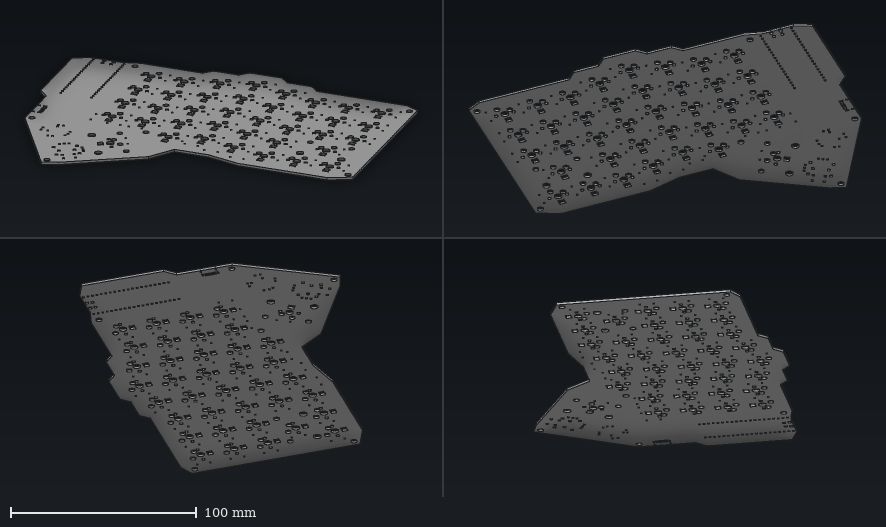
import cadquery as cq
import math


BOARD_LENGTH = 198.84
BOARD_WIDTH = 151.51
BOARD_THICKNESS = 1.51

KEY_PITCH = 19.05
FIRST_COLUMN_X = 48.67
TOP_ROW_Y = 127.71
COLUMN_STEP = KEY_PITCH / 4
COLUMN_RAISES = [0, 0, COLUMN_STEP, 2 * COLUMN_STEP, COLUMN_STEP, 0, 0, 0]
ROWS_IN_COLUMNS = [
    (0, 1, 2, 3),
    (0, 1, 2, 3),
    (0, 1, 2, 3, 4),
    (0, 1, 2, 3, 4),
    (0, 1, 2, 3, 4),
    (0, 1, 2, 3, 4),
    (0, 1, 2, 4),
    (0, 1, 2, 4),
]
LAST_COLUMN_X = FIRST_COLUMN_X + (len(COLUMN_RAISES) - 1) * KEY_PITCH
WIDE_KEY = (LAST_COLUMN_X - KEY_PITCH / 2, TOP_ROW_Y - 3 * KEY_PITCH)
THUMB_KEY = (60.55, 37.2)
THUMB_KEY_TURN = -60

TOP_EDGE_Y = BOARD_WIDTH - 2 * COLUMN_STEP
MIDDLE_STEP_Y = BOARD_WIDTH - COLUMN_STEP
TALLEST_COLUMN_X = FIRST_COLUMN_X + 3 * KEY_PITCH
CROWN_HALF_LENGTH = 9.35
MIDDLE_STEP_HALF_LENGTH = CROWN_HALF_LENGTH + KEY_PITCH
RIGHT_SIDE_TOP_Y = 138.0
RIGHT_SIDE_BOTTOM_Y = 42.7
TOP_EDGE_END_X = 191.3
BOTTOM_EDGE_X = (134.3, 186.2)
BOTTOM_EDGE_Y = 37.1
INNER_EDGE_X = (96.0, 115.4)
INNER_EDGE_Y = BOTTOM_EDGE_Y + COLUMN_STEP
THUMB_INNER_CORNER = (86.4, 27.8)
THUMB_TIP = (44.2, 3.1)
LOWEST_CORNER_X = 35.3
NECK_X = 5.5
NECK_BOTTOM_Y = 51.6
NECK_TOP_Y = 83.0
MODULE_SIDE_BOTTOM_Y = 88.6
MODULE_SIDE_TOP_Y = 135.1
MODULE_EDGE_X = (9.5, 27.2)
MODULE_EDGE_Y = 139.3
TOP_EDGE_START_X = 37.2

SWITCH_POST_DIAMETER = 3.99
SWITCH_PEG_DIAMETER = 1.75
SWITCH_PEG_OFFSET = 5.08
SOCKET_DIAMETER = 3.05
SOCKET_HOLES = [(-3.81, 2.54), (2.54, 5.08)]
LED_WINDOW = (3.3, 2.9)
LED_OFFSET = -5.3

STABILIZER_HALF_SPAN = 11.938
STABILIZER_SMALL_DIAMETER = 3.05
STABILIZER_SMALL_OFFSET = 6.985
STABILIZER_LARGE_DIAMETER = 4.0
STABILIZER_LARGE_OFFSET = -8.255

LEAD_DIAMETER = 0.8
LEAD_SPACING = 7.62
KEY_DIODE_X = 9.1
WIDE_KEY_DIODE_X = 8.45
KEY_DIODE_UPPER_LEAD = 5.0
THUMB_DIODE_FIRST_LEAD = (-5.2, 9.2)
EDGE_DIODE_X = 39.35
EDGE_DIODE_UPPER_LEAD_Y = 70.3
LYING_PARTS = [(49.2, 61.5), (61.7, 61.5), (98.2, 50.9), (111.1, 47.3), (127.5, 43.8)]

MODULE_X = 20.22
MODULE_TOP_PIN_Y = 137.84
MODULE_PIN_DIAMETER = 1.0
MODULE_PIN_PITCH = 2.54
MODULE_PINS_PER_ROW = 20
MODULE_ROW_SPACING = 17.78
MODULE_PEG_PAIRS = [(2.725, 0.0, 1.85), (2.425, -3.03, 1.65)]

USB_Y = 65.5
USB_REAR_ROW_X = 11.08
USB_ROW_SPACING = 1.35
USB_PIN_DIAMETER = 0.4
USB_PIN_PITCH = 0.85
USB_PINS_PER_ROW = 8
USB_SLOT_HALF_SPAN = 8.65 / 2
USB_SLOT_WIDTH = 0.6
USB_SLOT_PAIRS = [(0.98, 2.1), (4.36, 1.4)]

JOYSTICK_CENTER = (42.25, 19.68)
JOYSTICK_TURN = 30
JOYSTICK_MOUNT_DIAMETER = 1.6
JOYSTICK_MOUNTS = [(x, y) for x in (-6.3, 6.3) for y in (-5.0, 5.0)]
JOYSTICK_PEGS = [(-4.3, 0), (4.3, 0)]
JOYSTICK_SENSOR_PIN_DIAMETER = 1.1
JOYSTICK_SENSOR_PIN_PITCH = 2.5
JOYSTICK_SENSOR_OFFSET = 8.8
JOYSTICK_BUTTON_PIN_DIAMETER = 1.3
JOYSTICK_BUTTON_PINS = [(x, y) for x in (-3.25, 3.25) for y in (-5.75, -10.3)]

WIRE_CENTER = (27.2, 41.68)
WIRE_HOLE_DIAMETER = 1.0
WIRE_HOLES = [
    (-1.5, 7.8),
    (1.5, 7.75),
    (-1.2, 5.7),
    (-7.85, 1.5),
    (-7.85, -1.5),
    (-4.0, -1.5),
    (7.8, 1.5),
    (7.8, -1.5),
    (6.9, -3.8),
    (1.0, -7.1),
    (-1.5, -7.7),
]

SCREW_DIAMETER = 3.2
SCREW_HOLES = [(35.7, 137.0), (195.1, 135.3), (195.1, 45.0), (9.0, 52.9), (36.9, 4.1), (73.3, 57.5)]


def placed(points, center, turn=0):
    """Turn local points by an angle in degrees and move them to a centre."""
    cosine = math.cos(math.radians(turn))
    sine = math.sin(math.radians(turn))
    return [
        (center[0] + x * cosine - y * sine, center[1] + x * sine + y * cosine)
        for x, y in points
    ]


def drill(board, diameter, points):
    """Drill through holes of one diameter."""
    return board.cut(
        cq.Workplane().pushPoints(points).circle(diameter / 2).extrude(BOARD_THICKNESS)
    )


def blank_board():
    """Plate with the stepped outline that follows the key columns and thumb cluster."""
    middle = TALLEST_COLUMN_X
    outline = [
        (0, MODULE_SIDE_TOP_Y),
        (MODULE_EDGE_X[0], MODULE_EDGE_Y),
        (MODULE_EDGE_X[1], MODULE_EDGE_Y),
        (TOP_EDGE_START_X, TOP_EDGE_Y),
        (middle - MIDDLE_STEP_HALF_LENGTH - COLUMN_STEP, TOP_EDGE_Y),
        (middle - MIDDLE_STEP_HALF_LENGTH, MIDDLE_STEP_Y),
        (middle - CROWN_HALF_LENGTH - COLUMN_STEP, MIDDLE_STEP_Y),
        (middle - CROWN_HALF_LENGTH, BOARD_WIDTH),
        (middle + CROWN_HALF_LENGTH, BOARD_WIDTH),
        (middle + CROWN_HALF_LENGTH + COLUMN_STEP, MIDDLE_STEP_Y),
        (middle + MIDDLE_STEP_HALF_LENGTH, MIDDLE_STEP_Y),
        (middle + MIDDLE_STEP_HALF_LENGTH + COLUMN_STEP, TOP_EDGE_Y),
        (TOP_EDGE_END_X, TOP_EDGE_Y),
        (BOARD_LENGTH, RIGHT_SIDE_TOP_Y),
        (BOARD_LENGTH, RIGHT_SIDE_BOTTOM_Y),
        (BOTTOM_EDGE_X[1], BOTTOM_EDGE_Y),
        (BOTTOM_EDGE_X[0], BOTTOM_EDGE_Y),
        (INNER_EDGE_X[1], INNER_EDGE_Y),
        (INNER_EDGE_X[0], INNER_EDGE_Y),
        THUMB_INNER_CORNER,
        THUMB_TIP,
        (LOWEST_CORNER_X, 0),
        (NECK_X, NECK_BOTTOM_Y),
        (NECK_X, NECK_TOP_Y),
        (0, MODULE_SIDE_BOTTOM_Y),
    ]
    return cq.Workplane().polyline(outline).close().extrude(BOARD_THICKNESS)


def grid_keys():
    """Centres of the one-unit keys."""
    return [
        (FIRST_COLUMN_X + column * KEY_PITCH, TOP_ROW_Y + COLUMN_RAISES[column] - row * KEY_PITCH)
        for column, rows in enumerate(ROWS_IN_COLUMNS)
        for row in rows
    ]


def cut_switches(board, centers, turn=0):
    """Cut the post, peg, socket and LED openings of key switches."""
    pegs = [(-SWITCH_PEG_OFFSET, 0), (SWITCH_PEG_OFFSET, 0)]
    peg_points = []
    socket_points = []
    led_points = []
    for center in centers:
        peg_points += placed(pegs, center, turn)
        socket_points += placed(SOCKET_HOLES, center, turn)
        led_points += placed([(0, LED_OFFSET)], center, turn)
    board = drill(board, SWITCH_POST_DIAMETER, centers)
    board = drill(board, SWITCH_PEG_DIAMETER, peg_points)
    board = drill(board, SOCKET_DIAMETER, socket_points)
    window = cq.Sketch().rect(*LED_WINDOW, angle=turn)
    return board.cut(
        cq.Workplane().pushPoints(led_points).placeSketch(window).extrude(BOARD_THICKNESS)
    )


def cut_stabilizer(board, center, turn=0):
    """Drill the four stabilizer holes of a two-unit key."""
    for diameter, offset in (
        (STABILIZER_SMALL_DIAMETER, STABILIZER_SMALL_OFFSET),
        (STABILIZER_LARGE_DIAMETER, STABILIZER_LARGE_OFFSET),
    ):
        pair = [(-STABILIZER_HALF_SPAN, offset), (STABILIZER_HALF_SPAN, offset)]
        board = drill(board, diameter, placed(pair, center, turn))
    return board


def cut_leads(board):
    """Drill the lead holes of the diodes and resistors."""
    lower_lead = KEY_DIODE_UPPER_LEAD - LEAD_SPACING
    points = []
    for center in grid_keys():
        points += placed([(KEY_DIODE_X, KEY_DIODE_UPPER_LEAD), (KEY_DIODE_X, lower_lead)], center)
    points += placed(
        [(WIDE_KEY_DIODE_X, KEY_DIODE_UPPER_LEAD), (WIDE_KEY_DIODE_X, lower_lead)], WIDE_KEY
    )
    lead_x, lead_y = THUMB_DIODE_FIRST_LEAD
    points += placed([(lead_x, lead_y), (lead_x + LEAD_SPACING, lead_y)], THUMB_KEY, THUMB_KEY_TURN)
    points += placed([(0, 0), (0, -LEAD_SPACING)], (EDGE_DIODE_X, EDGE_DIODE_UPPER_LEAD_Y))
    for first_lead in LYING_PARTS:
        points += placed([(0, 0), (LEAD_SPACING, 0)], first_lead)
    return drill(board, LEAD_DIAMETER, points)


def cut_module(board):
    """Drill the two pin rows and the locating holes of the controller module."""
    pins = [
        (side * MODULE_ROW_SPACING / 2, -index * MODULE_PIN_PITCH)
        for side in (-1, 1)
        for index in range(MODULE_PINS_PER_ROW)
    ]
    center = (MODULE_X, MODULE_TOP_PIN_Y)
    board = drill(board, MODULE_PIN_DIAMETER, placed(pins, center))
    for half_spacing, height, diameter in MODULE_PEG_PAIRS:
        pair = [(-half_spacing, height), (half_spacing, height)]
        board = drill(board, diameter, placed(pair, center))
    return board


def cut_usb(board):
    """Cut the two pin rows and the four shield slots of the USB connector."""
    half_row = (USB_PINS_PER_ROW - 1) * USB_PIN_PITCH / 2
    pins = [
        (-row * USB_ROW_SPACING, index * USB_PIN_PITCH - half_row)
        for row in range(2)
        for index in range(USB_PINS_PER_ROW)
    ]
    center = (USB_REAR_ROW_X, USB_Y)
    board = drill(board, USB_PIN_DIAMETER, placed(pins, center))
    for distance, length in USB_SLOT_PAIRS:
        pair = [(-distance, -USB_SLOT_HALF_SPAN), (-distance, USB_SLOT_HALF_SPAN)]
        slots = cq.Workplane().pushPoints(placed(pair, center)).slot2D(length, USB_SLOT_WIDTH)
        board = board.cut(slots.extrude(BOARD_THICKNESS))
    return board


def cut_joystick(board):
    """Drill the mounting, sensor and push-button holes of the joystick."""
    sensor_steps = [-JOYSTICK_SENSOR_PIN_PITCH, 0, JOYSTICK_SENSOR_PIN_PITCH]
    sensor_pins = [(step, JOYSTICK_SENSOR_OFFSET) for step in sensor_steps]
    sensor_pins += [(JOYSTICK_SENSOR_OFFSET, step) for step in sensor_steps]
    for diameter, points in (
        (JOYSTICK_MOUNT_DIAMETER, JOYSTICK_MOUNTS + JOYSTICK_PEGS),
        (JOYSTICK_SENSOR_PIN_DIAMETER, sensor_pins),
        (JOYSTICK_BUTTON_PIN_DIAMETER, JOYSTICK_BUTTON_PINS),
    ):
        board = drill(board, diameter, placed(points, JOYSTICK_CENTER, JOYSTICK_TURN))
    return board


board = blank_board()
board = cut_switches(board, grid_keys() + [WIDE_KEY])
board = cut_switches(board, [THUMB_KEY], THUMB_KEY_TURN)
board = cut_stabilizer(board, WIDE_KEY)
board = cut_stabilizer(board, THUMB_KEY, THUMB_KEY_TURN)
board = cut_leads(board)
board = cut_module(board)
board = cut_usb(board)
board = cut_joystick(board)
board = drill(board, WIRE_HOLE_DIAMETER, placed(WIRE_HOLES, WIRE_CENTER))
board = drill(board, SCREW_DIAMETER, SCREW_HOLES)

result = board